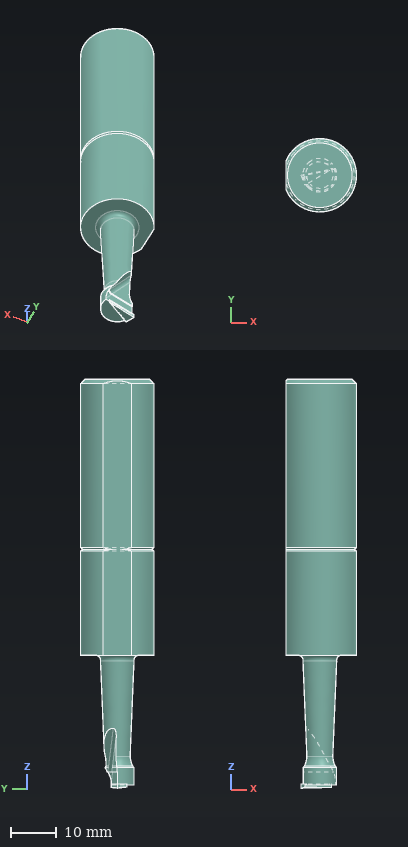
import cadquery as cq
import math

total_length = 89.0
shank_radius = 8.0
shank_bottom_z = 28.9
end_chamfer = 1.0
flat_x = -7.4
ring_groove_z = 52.0
ring_groove_depth = 0.5
ring_groove_half_width = 0.4

shoulder_radius = 4.7
shoulder_flare_sag = 0.3
neck_top_radius = 3.695
neck_top_z = 27.7
neck_bottom_radius = 2.85
neck_bottom_z = 6.9
head_flare_radius = 3.4
head_flare_sag = 0.1

head_radius = 3.65
head_top_z = 4.8
head_bottom_z = 0.7
head_top_chamfer = 0.3

tip_x = -4.1
rake_slope = 0.2
wall_base_x = 4.3
wall_yaw = 18.0
wall_lean = 30.0
pocket_corner_diameter = 2.2
pocket_reach = 13.35
pocket_half_length = 22.3
chip_groove_top_z = 3.6
chip_groove_depth = 0.2

tip_top_z = 1.0
tip_back_x = -3.2
tip_back_y = -2.1
tip_back_rise = 0.3
tip_edge_end_x = 2.6
tip_edge_end_rise = 0.2

head_cover = 4 * head_radius


def rake_y(x):
    """Y of the rake face at a given X; the face is vertical and passes through the cutting corner."""
    return (x - tip_x) * rake_slope


def make_turned_bar():
    """Shank, flared neck and head as one revolved outline of radius against Z."""
    shoulder_flare_middle = (
        (neck_top_radius + shoulder_radius) / 2 - shoulder_flare_sag,
        (neck_top_z + shank_bottom_z) / 2 + shoulder_flare_sag,
    )
    head_flare_middle = (
        (neck_bottom_radius + head_flare_radius) / 2 - head_flare_sag,
        (neck_bottom_z + head_top_z) / 2 - head_flare_sag,
    )
    return (
        cq.Workplane("XZ")
        .moveTo(0, head_bottom_z)
        .lineTo(head_radius, head_bottom_z)
        .lineTo(head_radius, head_top_z - head_top_chamfer)
        .lineTo(head_flare_radius, head_top_z)
        .threePointArc(head_flare_middle, (neck_bottom_radius, neck_bottom_z))
        .lineTo(neck_top_radius, neck_top_z)
        .threePointArc(shoulder_flare_middle, (shoulder_radius, shank_bottom_z))
        .lineTo(shank_radius, shank_bottom_z)
        .lineTo(shank_radius, ring_groove_z - ring_groove_half_width)
        .lineTo(shank_radius - ring_groove_depth, ring_groove_z)
        .lineTo(shank_radius, ring_groove_z + ring_groove_half_width)
        .lineTo(shank_radius, total_length - end_chamfer)
        .lineTo(shank_radius - end_chamfer, total_length)
        .lineTo(0, total_length)
        .close()
        .revolve(360, (0, 0, 0), (0, 1, 0))
    )


def make_flat_cutter():
    """Block that leaves the clamping flat along the whole shank."""
    return (
        cq.Workplane("XY", origin=(flat_x - shank_radius / 2, 0, shank_bottom_z))
        .rect(shank_radius, 2 * shank_radius)
        .extrude(total_length)
    )


def make_pocket_cutter():
    """Wedge between rake face and back wall, swept along the corner line where the two meet."""
    yaw_slope = math.tan(math.radians(wall_yaw))
    lean_slope = math.tan(math.radians(wall_lean))
    rake_normal = cq.Vector(-rake_slope, 1, 0).normalized()
    wall_normal = cq.Vector(-1, yaw_slope, -lean_slope).normalized()

    corner_x = (wall_base_x - tip_x * rake_slope * yaw_slope) / (1 - rake_slope * yaw_slope)
    corner = (corner_x, rake_y(corner_x), 0)
    corner_line = rake_normal.cross(wall_normal).normalized()
    across_rake = rake_normal.cross(corner_line)
    section = cq.Plane(origin=corner, xDir=across_rake.toTuple(), normal=corner_line.toTuple())

    wall_run = -pocket_reach * wall_normal.dot(rake_normal) / wall_normal.dot(across_rake)
    return (
        cq.Workplane(section)
        .lineTo(wall_run, pocket_reach)
        .lineTo(-pocket_reach, pocket_reach)
        .lineTo(-pocket_reach, 0)
        .close()
        .extrude(pocket_half_length, both=True)
        .edges(cq.selectors.NearestToPointSelector(corner))
        .fillet(pocket_corner_diameter / 2)
    )


def make_chip_groove_cutter(pocket_cutter):
    """Lower end of the pocket wedge, sunk slightly below the rake face."""
    sink = cq.Vector(rake_slope, -1, 0).normalized() * chip_groove_depth
    lower_end = cq.Workplane("XY").rect(head_cover, head_cover).extrude(chip_groove_top_z)
    return pocket_cutter.translate(sink).intersect(lower_end)


def make_cutting_tip():
    """Triangular plate whose underside rises away from the cutting corner."""
    corner = cq.Vector(tip_x, 0, 0)
    back = cq.Vector(tip_back_x, tip_back_y, tip_back_rise)
    edge_end = cq.Vector(tip_edge_end_x, rake_y(tip_edge_end_x), tip_edge_end_rise)
    along_edge = edge_end - corner
    upward = (back - corner).cross(along_edge)

    underside = cq.Plane(origin=corner.toTuple(), xDir=along_edge.toTuple(), normal=upward.toTuple())
    clearance = cq.Workplane(underside).rect(head_cover, head_cover).extrude(-tip_top_z)
    return (
        cq.Workplane("XY")
        .moveTo(corner.x, corner.y)
        .lineTo(back.x, back.y)
        .lineTo(edge_end.x, edge_end.y)
        .close()
        .extrude(tip_top_z)
        .cut(clearance)
    )


def make_holder(tip):
    """Turned bar with its flat, chip pocket and the recess that seats the cutting tip."""
    pocket_cutter = make_pocket_cutter()
    return (
        make_turned_bar()
        .cut(make_flat_cutter())
        .cut(pocket_cutter)
        .cut(make_chip_groove_cutter(pocket_cutter))
        .cut(tip)
    )


cutting_tip = make_cutting_tip()
holder = make_holder(cutting_tip)

result = cq.Compound.makeCompound([holder.val(), cutting_tip.val()])